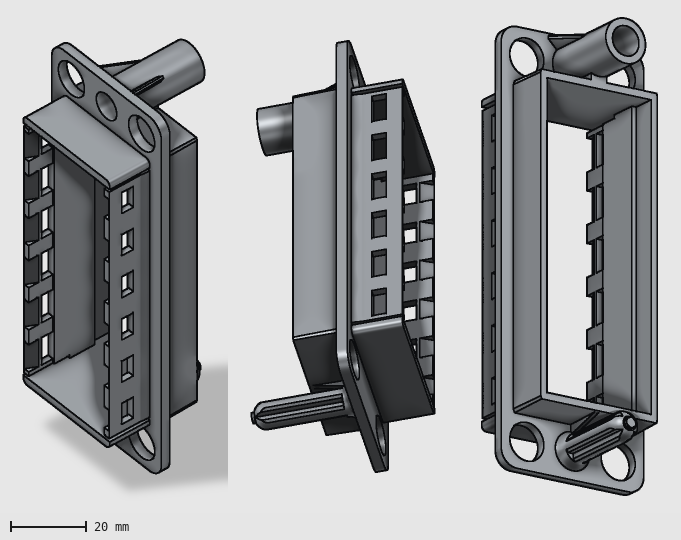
import cadquery as cq


PLATE_WIDTH = 45.0
PLATE_HEIGHT = 123.4
PLATE_THICKNESS = 3.0
PLATE_CORNER_RADIUS = 4.9
MOUNT_HOLE_X = 14.4
MOUNT_HOLE_DIAMETER = 10.7
GUIDE_Z = 53.7

OPENING_HALF_WIDTH = 15.0
OPENING_HALF_HEIGHT = 43.9

SHELL_HALF_WIDTH = 18.8
SHELL_HALF_HEIGHT = 46.4
SHELL_REAR_Y = 15.8
SHELL_DRAFT = 1.2
SHELL_CORNER_X = 0.4
SHELL_CORNER_Z = 1.1
SHELL_RECESS_HALF_WIDTH = 16.4
SHELL_RECESS_DEPTH = 7.2

FRAME_DEPTH = 13.8
FRAME_HALF_WIDTH = 17.8
FRAME_HALF_HEIGHT = 46.5
FRAME_CORNER_RADIUS = 1.6
LATCH_WALL_OUTER = 17.5
LATCH_WALL_INNER = 15.5
LATCH_WALL_HALF_HEIGHT = 43.0
LATCH_FLARE_DEPTH = 3.0

WINDOW_COUNT = 6
WINDOW_PITCH = 14.7
WINDOW_BACK = 5.4
WINDOW_FRONT = 9.4
LEFT_WINDOW_HEIGHT = 9.5
RIGHT_WINDOW_HEIGHT = 7.3
RAMP_START = 10.4
RAMP_TIP_THICKNESS = 0.2

SOCKET_RADIUS = 6.3
SOCKET_BORE_RADIUS = 4.2
SOCKET_END_Y = 28.6
SOCKET_RIB_REACH = 10.5
SOCKET_RIB_THICKNESS = 1.6
SOCKET_RIB_BEVEL = 0.5
SOCKET_RIB_ANGLE = 45
SOCKET_WEB_THICKNESS = 4.9

PIN_RADIUS = 4.2
PIN_FIN_THICKNESS = 3.7
PIN_FIN_BEVEL = 0.9
PIN_FOOT_RADIUS = 4.2
PIN_FOOT_FLARE = 1.2
PIN_FOOT_LENGTH = 3.1
PIN_SHOULDER_Y = 26.5
PIN_DOME_END_Y = 30.5
PIN_DOME_END_RADIUS = 2.0
PIN_END_Y = 31.3
PIN_TIP_RADIUS = 1.5
PIN_RIB_REACH = 49.2
PIN_RIB_THICKNESS = 1.2

OVERLAP = 0.6


def box(x0, x1, y0, y1, z0, z1):
    """Axis-aligned block between two corners."""
    return cq.Workplane("XY").box(x1 - x0, y1 - y0, z1 - z0, centered=False).translate((x0, y0, z0))


def centered_box(half_width, y0, y1, half_height):
    """Block centred on the Y axis."""
    return box(-half_width, half_width, y0, y1, -half_height, half_height)


def cylinder(x, z, radius, y0, y1):
    """Cylinder along Y from y0 to y1."""
    return cq.Workplane("XZ", origin=(x, y0, z)).circle(radius).extrude(y0 - y1)


def mounting_plate():
    plate = centered_box(PLATE_WIDTH / 2, 0, PLATE_THICKNESS, PLATE_HEIGHT / 2)
    return plate.edges("|Y").fillet(PLATE_CORNER_RADIUS)


def rear_shell():
    """Drafted sleeve behind the plate with slim bevelled corners."""
    x_out = SHELL_HALF_WIDTH
    x_in = x_out - SHELL_CORNER_X
    z_out = SHELL_HALF_HEIGHT
    z_in = z_out - SHELL_CORNER_Z
    outline = [
        (x_out, z_in), (x_in, z_out), (-x_in, z_out), (-x_out, z_in),
        (-x_out, -z_in), (-x_in, -z_out), (x_in, -z_out), (x_out, -z_in),
    ]
    return cq.Workplane("XZ").polyline(outline).close().extrude(-SHELL_REAR_Y, taper=SHELL_DRAFT)


def end_walls():
    """Two rounded walls above and below the front opening."""
    frame = centered_box(FRAME_HALF_WIDTH, -FRAME_DEPTH, OVERLAP, FRAME_HALF_HEIGHT)
    frame = frame.edges("|Y").fillet(FRAME_CORNER_RADIUS)
    return frame.cut(centered_box(PLATE_WIDTH, -FRAME_DEPTH, 0, OPENING_HALF_HEIGHT))


def latch_wall(window_height):
    """Wall on the +X side: thicker flared foot, windows and a ramp leading in to each window."""
    flare = FRAME_HALF_WIDTH - LATCH_WALL_OUTER
    flare_radius = (LATCH_FLARE_DEPTH**2 + flare**2) / (2 * flare)
    wall = (
        cq.Workplane("XY", origin=(0, 0, -LATCH_WALL_HALF_HEIGHT))
        .moveTo(OPENING_HALF_WIDTH, OVERLAP)
        .lineTo(OPENING_HALF_WIDTH, -WINDOW_BACK)
        .lineTo(LATCH_WALL_INNER, -WINDOW_BACK)
        .lineTo(LATCH_WALL_INNER, -FRAME_DEPTH)
        .lineTo(LATCH_WALL_OUTER, -FRAME_DEPTH)
        .lineTo(LATCH_WALL_OUTER, -LATCH_FLARE_DEPTH)
        .radiusArc((FRAME_HALF_WIDTH, 0), -flare_radius)
        .lineTo(FRAME_HALF_WIDTH, OVERLAP)
        .close()
        .extrude(2 * LATCH_WALL_HALF_HEIGHT)
    )
    ramp_profile = [
        (LATCH_WALL_INNER, -RAMP_START),
        (LATCH_WALL_INNER, -FRAME_DEPTH),
        (LATCH_WALL_OUTER - RAMP_TIP_THICKNESS, -FRAME_DEPTH),
    ]
    for index in range(WINDOW_COUNT):
        bottom = (index - (WINDOW_COUNT - 1) / 2) * WINDOW_PITCH - window_height / 2
        window = box(
            LATCH_WALL_INNER, FRAME_HALF_WIDTH,
            -WINDOW_FRONT, -WINDOW_BACK,
            bottom, bottom + window_height,
        )
        ramp = (
            cq.Workplane("XY", origin=(0, 0, bottom))
            .polyline(ramp_profile)
            .close()
            .extrude(window_height)
        )
        wall = wall.cut(window).cut(ramp)
    return wall


def opening():
    """Through opening, wider in X at the rear end of the shell."""
    main = centered_box(OPENING_HALF_WIDTH, -FRAME_DEPTH, SHELL_REAR_Y, OPENING_HALF_HEIGHT)
    recess_start = SHELL_REAR_Y - SHELL_RECESS_DEPTH
    recess = centered_box(SHELL_RECESS_HALF_WIDTH, recess_start, SHELL_REAR_Y, OPENING_HALF_HEIGHT)
    return main.union(recess)


def guide_socket():
    """Tube with two diagonal ribs above it and a web down to the shell."""
    socket = cylinder(0, GUIDE_Z, SOCKET_RADIUS, 0, SOCKET_END_Y)
    rib_profile = [
        (0, 0),
        (SOCKET_RIB_REACH, 0),
        (SOCKET_RIB_REACH, PLATE_THICKNESS),
        (SOCKET_RADIUS, SHELL_REAR_Y),
        (0, SHELL_REAR_Y),
    ]
    rib = (
        cq.Workplane("XY")
        .polyline(rib_profile)
        .close()
        .extrude(SOCKET_RIB_THICKNESS / 2, both=True)
    )
    slope_run = SHELL_REAR_Y - PLATE_THICKNESS
    slope_drop = SOCKET_RIB_REACH - SOCKET_RADIUS
    slope_normal = cq.Vector(slope_run, slope_drop, 0)
    sloped_face = cq.selectors.DirectionMinMaxSelector(slope_normal)
    rib = rib.faces(sloped_face).edges("#Z").chamfer(SOCKET_RIB_BEVEL)
    for angle in (SOCKET_RIB_ANGLE, 180 - SOCKET_RIB_ANGLE):
        turned = rib.rotate((0, 0, 0), (0, 1, 0), -angle)
        socket = socket.union(turned.translate((0, 0, GUIDE_Z)))
    web = box(
        -SOCKET_WEB_THICKNESS / 2, SOCKET_WEB_THICKNESS / 2,
        0, SHELL_REAR_Y,
        SHELL_HALF_HEIGHT - OVERLAP, GUIDE_Z,
    )
    return socket.union(web)


def guide_pin():
    """Cross-finned pin with a domed end, a flared foot and a small tip."""
    dome_length = PIN_DOME_END_Y - PIN_SHOULDER_Y
    dome_drop = PIN_RADIUS - PIN_DOME_END_RADIUS
    dome_radius = (dome_length**2 + dome_drop**2) / (2 * dome_drop)
    envelope = (
        cq.Workplane("XY")
        .lineTo(PIN_RADIUS, 0)
        .lineTo(PIN_RADIUS, PIN_SHOULDER_Y)
        .radiusArc((PIN_DOME_END_RADIUS, PIN_DOME_END_Y), -dome_radius)
        .lineTo(0, PIN_DOME_END_Y)
        .close()
        .revolve(360, (0, 0), (0, 1))
    )
    half_fin = PIN_FIN_THICKNESS / 2
    fin = centered_box(PIN_RADIUS, 0, PIN_DOME_END_Y, half_fin)
    fin = fin.edges("|Y").chamfer(PIN_FIN_BEVEL)
    cross = fin.union(fin.rotate((0, 0, 0), (0, 1, 0), 90))
    pin = envelope.intersect(cross)

    foot_end = PLATE_THICKNESS + PIN_FOOT_LENGTH
    foot_arc_radius = (PIN_FOOT_LENGTH**2 + PIN_FOOT_FLARE**2) / (2 * PIN_FOOT_FLARE)
    foot_base_radius = PIN_FOOT_RADIUS + PIN_FOOT_FLARE
    foot = (
        cq.Workplane("XY")
        .lineTo(foot_base_radius, 0)
        .lineTo(foot_base_radius, PLATE_THICKNESS)
        .radiusArc((PIN_FOOT_RADIUS, foot_end), foot_arc_radius)
        .lineTo(0, foot_end)
        .close()
        .revolve(360, (0, 0), (0, 1))
    )
    tip = cylinder(0, 0, PIN_TIP_RADIUS, PIN_SHOULDER_Y, PIN_END_Y)
    return pin.union(foot).union(tip).translate((0, 0, -GUIDE_Z))


def pin_rib():
    """Sloped rib between the plate and the lower end of the shell."""
    root = -SHELL_HALF_HEIGHT + OVERLAP
    profile = [(0, root), (SHELL_REAR_Y, root), (PLATE_THICKNESS, -PIN_RIB_REACH), (0, -PIN_RIB_REACH)]
    return cq.Workplane("YZ").polyline(profile).close().extrude(PIN_RIB_THICKNESS / 2, both=True)


left_wall = latch_wall(LEFT_WINDOW_HEIGHT).mirror("YZ")
right_wall = latch_wall(RIGHT_WINDOW_HEIGHT)

result = mounting_plate()
for feature in (rear_shell(), end_walls(), guide_socket(), guide_pin(), pin_rib()):
    result = result.union(feature)
result = result.cut(opening()).union(left_wall).union(right_wall)

for x in (-MOUNT_HOLE_X, MOUNT_HOLE_X):
    for z in (-GUIDE_Z, GUIDE_Z):
        result = result.cut(cylinder(x, z, MOUNT_HOLE_DIAMETER / 2, 0, PLATE_THICKNESS))
result = result.cut(cylinder(0, GUIDE_Z, SOCKET_BORE_RADIUS, 0, SOCKET_END_Y))